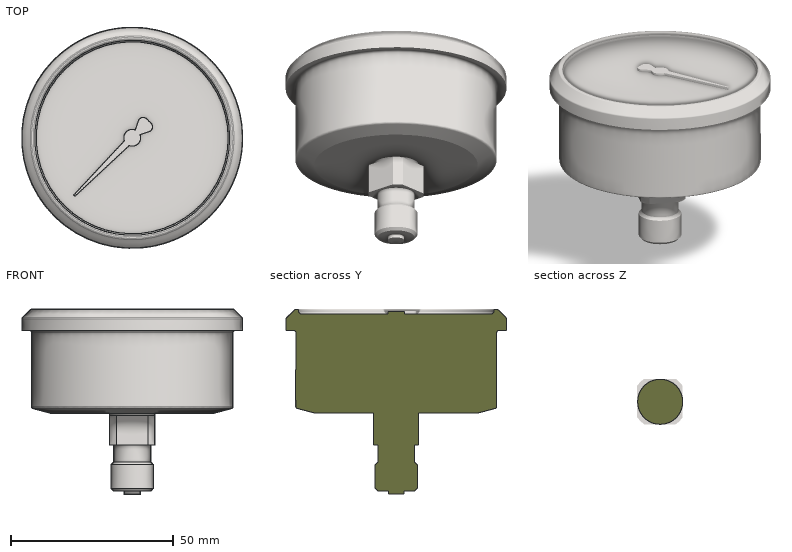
import cadquery as cq
import math

total_height = 57.0
thread_bottom = 1.0
thread_top = 10.0
square_bottom = 15.15
square_top = 24.2
case_bottom = 24.95
rim_bottom = 50.4

pin_diameter = 5.0
thread_diameter = 13.1
neck_diameter = 11.4
thread_chamfer = (thread_diameter - neck_diameter) / 2
square_width = 14.0
square_flat_width = 9.65

case_diameter = 62.0
case_base_diameter = 50.3
case_cone_angle = 15.0
case_edge_radius = 0.7
case_top_fillet = 0.55

rim_diameter = 68.0
rim_bevel = 2.8
rim_edge_radius = 0.55
window_diameter = 60.0
window_edge = 0.5
dial_depth = 1.4

pointer_thickness = 0.8
pointer_angle = 225.0
hub_radius = 2.6
needle_length = 25.15
needle_root_width = 2.25
needle_tip_width = 0.55
counterweight_length = 7.3
counterweight_neck_distance = 2.25
counterweight_neck_width = 1.9
counterweight_end_width = 6.95
counterweight_corner_radius = 1.55

dial_height = total_height - dial_depth


def cylinder(diameter, bottom, top):
    return cq.Workplane("XY").workplane(offset=bottom).circle(diameter / 2).extrude(top - bottom)


def make_stem():
    """Pin, chamfered thread, neck, square with rounded corners, and collar."""
    pin = cylinder(pin_diameter, 0, thread_bottom)
    thread = cylinder(thread_diameter, thread_bottom, thread_top).faces("<Z or >Z").chamfer(thread_chamfer)
    neck = cylinder(neck_diameter, thread_top, square_bottom)
    square = (
        cq.Workplane("XY").workplane(offset=square_bottom)
        .rect(square_width, square_width).extrude(square_top - square_bottom)
    )
    corner_diameter = math.hypot(square_width, square_flat_width)
    square = square.intersect(cylinder(corner_diameter, square_bottom, square_top))
    collar = cylinder(square_width, square_top, case_bottom)
    return pin.union(thread).union(neck).union(square).union(collar)


def make_case():
    """Drum with a shallow conical bottom."""
    radius = case_diameter / 2
    base_radius = case_base_diameter / 2
    cone_top = case_bottom + (radius - base_radius) * math.tan(math.radians(case_cone_angle))
    drum = (
        cq.Workplane("XZ")
        .moveTo(0, case_bottom)
        .lineTo(base_radius, case_bottom)
        .lineTo(radius, cone_top)
        .lineTo(radius, rim_bottom)
        .lineTo(0, rim_bottom)
        .close()
        .revolve(360, (0, 0, 0), (0, 1, 0))
    )
    return drum.faces("%CYLINDER").edges("<Z").fillet(case_edge_radius)


def make_case_top_fillet():
    """Concave ring blending the drum into the underside of the rim."""
    radius = case_diameter / 2
    diagonal = case_top_fillet * (1 - math.sqrt(0.5))
    return (
        cq.Workplane("XZ")
        .moveTo(radius, rim_bottom - case_top_fillet)
        .threePointArc(
            (radius + diagonal, rim_bottom - diagonal),
            (radius + case_top_fillet, rim_bottom),
        )
        .lineTo(radius - case_top_fillet, rim_bottom)
        .lineTo(radius - case_top_fillet, rim_bottom - case_top_fillet)
        .close()
        .revolve(360, (0, 0, 0), (0, 1, 0))
    )


def make_rim():
    """Bevelled bezel with a recessed dial."""
    rim = cylinder(rim_diameter, rim_bottom, total_height)
    rim = rim.faces(">Z").edges().chamfer(rim_bevel)
    bevel = rim.faces("%CONE")
    rim = bevel.edges("%CIRCLE").fillet(rim_edge_radius)
    recess = cylinder(window_diameter, dial_height, total_height)
    recess = recess.faces("<Z").edges().chamfer(window_edge)
    rim = rim.cut(recess)
    return rim.faces(">Z").edges(cq.selectors.RadiusNthSelector(0)).fillet(window_edge)


def make_pointer():
    """Flat pointer: round hub, tapered needle and flared counterweight."""
    plane = cq.Workplane("XY").workplane(offset=dial_height)
    hub = plane.circle(hub_radius).extrude(pointer_thickness)
    needle = (
        plane
        .moveTo(0, needle_root_width / 2)
        .lineTo(needle_length, needle_tip_width / 2)
        .lineTo(needle_length, -needle_tip_width / 2)
        .lineTo(0, -needle_root_width / 2)
        .close()
        .extrude(pointer_thickness)
    )
    counterweight = (
        plane
        .moveTo(0, counterweight_neck_width / 2)
        .lineTo(-counterweight_neck_distance, counterweight_neck_width / 2)
        .lineTo(-counterweight_length, counterweight_end_width / 2)
        .lineTo(-counterweight_length, -counterweight_end_width / 2)
        .lineTo(-counterweight_neck_distance, -counterweight_neck_width / 2)
        .lineTo(0, -counterweight_neck_width / 2)
        .close()
        .extrude(pointer_thickness)
        .faces("<X").edges("|Z").fillet(counterweight_corner_radius)
    )
    pointer = hub.union(needle).union(counterweight)
    return pointer.rotate((0, 0, 0), (0, 0, 1), pointer_angle)


result = (
    make_stem()
    .union(make_case())
    .union(make_case_top_fillet())
    .union(make_rim())
    .union(make_pointer())
)